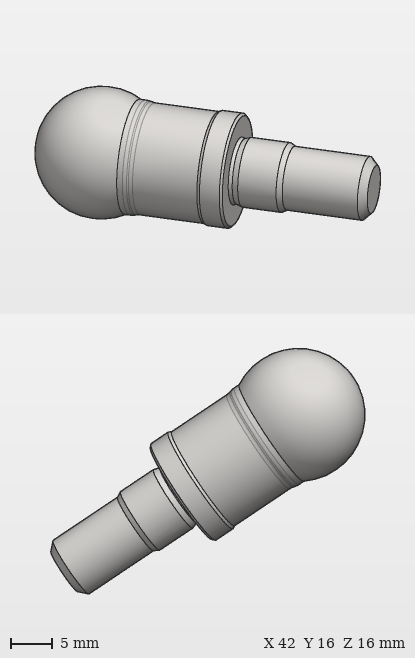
import cadquery as cq
import math


overall_length = 42.0
ball_radius = 16.0 / 2

collar_radius = 14.0 / 2
barrel_radius = 13.6 / 2
collar_end = 12.6
taper_angle = math.radians(15)
taper_blend_radius = 1.95
flange_ramp_start = 21.85
flange_start = 22.2
flange_end = 25.0
flange_chamfer = 0.3

neck_radius = 4.1
relief_radius = 4.0
relief_bottom = 25.45
seat_radius = 8.5 / 2
seat_start = 26.2
seat_end = 31.0
tail_radius = 7.75 / 2
tail_start = 31.65
tail_chamfer = 0.95

ball_depth = ball_radius + math.sqrt(ball_radius**2 - collar_radius**2)

AXIS_START = (0, 0, 0)
AXIS_END = (1, 0, 0)


def make_ball():
    """Sphere with a flat back that rests on the front face of the stud."""
    profile = (
        cq.Workplane("XY")
        .moveTo(0, 0)
        .threePointArc((ball_radius, ball_radius), (ball_depth, collar_radius))
        .lineTo(ball_depth, 0)
        .close()
    )
    return profile.revolve(360, AXIS_START, AXIS_END)


def add_collar_taper(profile):
    """Ease the collar down to the barrel: convex arc, short cone, concave arc."""
    r = taper_blend_radius
    arc_length = r * math.sin(taper_angle)
    arc_drop = r * (1 - math.cos(taper_angle))
    mid_length = r * math.sin(taper_angle / 2)
    mid_drop = r * (1 - math.cos(taper_angle / 2))
    cone_drop = collar_radius - barrel_radius - 2 * arc_drop
    cone_start = collar_end + arc_length
    cone_end = cone_start + cone_drop / math.tan(taper_angle)
    taper_end = cone_end + arc_length
    return (
        profile.lineTo(collar_end, collar_radius)
        .threePointArc(
            (collar_end + mid_length, collar_radius - mid_drop),
            (cone_start, collar_radius - arc_drop),
        )
        .lineTo(cone_end, barrel_radius + arc_drop)
        .threePointArc(
            (taper_end - mid_length, barrel_radius + mid_drop),
            (taper_end, barrel_radius),
        )
    )


def add_flange(profile):
    """Flange with a ramp in front and a chamfer at the back."""
    return (
        profile.lineTo(flange_ramp_start, barrel_radius)
        .lineTo(flange_start, collar_radius)
        .lineTo(flange_end - flange_chamfer, collar_radius)
        .lineTo(flange_end, collar_radius - flange_chamfer)
    )


def add_spigot(profile):
    """Shallow relief groove, seat, and the reduced end with its chamfer."""
    return (
        profile.lineTo(flange_end, neck_radius)
        .lineTo(relief_bottom, relief_radius)
        .lineTo(seat_start, seat_radius)
        .lineTo(seat_end, seat_radius)
        .lineTo(tail_start, tail_radius)
        .lineTo(overall_length - tail_chamfer, tail_radius)
        .lineTo(overall_length, tail_radius - tail_chamfer)
    )


def make_stud():
    """Shank and spigot behind the ball."""
    profile = cq.Workplane("XY").moveTo(ball_depth, 0).lineTo(ball_depth, collar_radius)
    profile = add_collar_taper(profile)
    profile = add_flange(profile)
    profile = add_spigot(profile)
    profile = profile.lineTo(overall_length, 0).close()
    return profile.revolve(360, AXIS_START, AXIS_END)


ball = make_ball()
stud = make_stud()

result = cq.Compound.makeCompound([ball.val(), stud.val()])